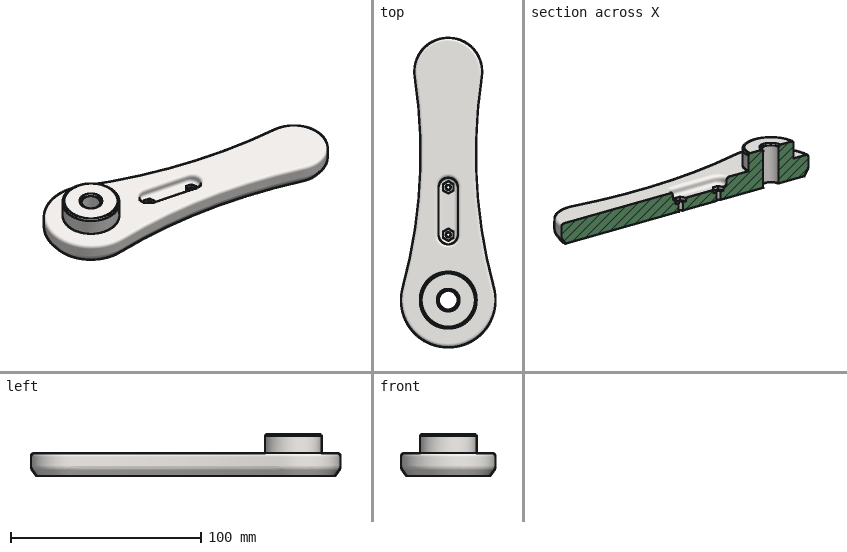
import cadquery as cq
import math

length = 163.0
hub_radius = 25.0
grip_radius = 18.0
side_radius = 267.3
grip_y = length - hub_radius - grip_radius

plate_height = 12.0
top_edge_fillet = 2.0
bottom_chamfer_height = 4.0
bottom_chamfer_inset = 3.0
chamfer_blend_radius = 3.0

boss_diameter = 30.0
boss_height = 10.0
bore_diameter = 10.0
boss_edge_chamfer = 1.0
total_height = plate_height + boss_height

pocket_near_y = 34.4
pocket_pitch = 25.0
pocket_radius = 5.0
pocket_rounding = 2.0
pocket_depth = 5.0
pocket_floor_z = plate_height - pocket_depth

screw_diameter = 2.5
nut_across_flats = 5.5
nut_depth = 2.0


def plate():
    """Build the plate, with each side arc tangent to both round ends."""
    to_hub = side_radius + hub_radius
    to_grip = side_radius + grip_radius
    side_y = (to_hub**2 - to_grip**2 + grip_y**2) / (2 * grip_y)
    side_x = math.sqrt(to_hub**2 - side_y**2)
    waist_x = side_x - side_radius
    hub_x = side_x * hub_radius / to_hub
    hub_tangent_y = side_y * hub_radius / to_hub
    grip_x = side_x * grip_radius / to_grip
    grip_tangent_y = grip_y + (side_y - grip_y) * grip_radius / to_grip
    outline = (
        cq.Workplane("XY")
        .moveTo(hub_x, hub_tangent_y)
        .threePointArc((waist_x, side_y), (grip_x, grip_tangent_y))
        .threePointArc((0, grip_y + grip_radius), (-grip_x, grip_tangent_y))
        .threePointArc((-waist_x, side_y), (-hub_x, hub_tangent_y))
        .threePointArc((0, -hub_radius), (hub_x, hub_tangent_y))
        .close()
    )
    body = outline.extrude(plate_height)
    body = body.faces("<Z").edges().chamfer(bottom_chamfer_height, bottom_chamfer_inset)
    chamfer_edges = cq.selectors.BoxSelector(
        (-length, -length, bottom_chamfer_height / 2),
        (length, length, (bottom_chamfer_height + plate_height) / 2),
    )
    body = body.edges(chamfer_edges).fillet(chamfer_blend_radius)
    return body.faces(">Z").edges().fillet(top_edge_fillet)


def boss():
    return (
        cq.Workplane("XY")
        .circle(boss_diameter / 2)
        .extrude(total_height)
        .faces(">Z")
        .edges()
        .chamfer(boss_edge_chamfer)
    )


def bore():
    """Through bore, widened by a chamfer at the top of the boss."""
    bore_radius = bore_diameter / 2
    mouth_radius = bore_radius + boss_edge_chamfer
    return (
        cq.Workplane("XZ")
        .polyline([
            (0, 0),
            (bore_radius, 0),
            (bore_radius, total_height - boss_edge_chamfer),
            (mouth_radius, total_height),
            (0, total_height),
        ])
        .close()
        .revolve(360, (0, 0), (0, 1))
    )


def pocket_profile(plane):
    """Half section of the pocket, from its centre line out to the rim."""
    floor_x = pocket_radius - pocket_rounding
    rim_x = pocket_radius + pocket_rounding
    wall_bottom_z = pocket_floor_z + pocket_rounding
    wall_top_z = plate_height - pocket_rounding
    return (
        cq.Workplane(plane)
        .moveTo(0, pocket_floor_z)
        .lineTo(floor_x, pocket_floor_z)
        .radiusArc((pocket_radius, wall_bottom_z), -pocket_rounding)
        .lineTo(pocket_radius, wall_top_z)
        .radiusArc((rim_x, plate_height), pocket_rounding)
        .lineTo(0, plate_height)
        .close()
    )


def pocket():
    """Round ends joined by a straight trough."""
    near_plane = cq.Plane((0, pocket_near_y, 0), xDir=(1, 0, 0), normal=(0, -1, 0))
    half_trough = pocket_profile(near_plane).extrude(-pocket_pitch)
    near_end = pocket_profile(near_plane).revolve(360, (0, 0), (0, 1))
    far_end = near_end.translate((0, pocket_pitch, 0))
    return half_trough.union(half_trough.mirror("YZ")).union(near_end).union(far_end)


def screw_holes():
    nut_across_corners = nut_across_flats / math.cos(math.pi / 6)
    centres = [(0, pocket_near_y), (0, pocket_near_y + pocket_pitch)]
    holes = cq.Workplane("XY").pushPoints(centres).circle(screw_diameter / 2).extrude(pocket_floor_z)
    for centre in centres:
        seat = (
            cq.Workplane("XY", origin=(*centre, pocket_floor_z - nut_depth))
            .transformed(rotate=(0, 0, 90))
            .polygon(6, nut_across_corners)
            .extrude(nut_depth)
        )
        holes = holes.union(seat)
    return holes


result = plate().union(boss()).cut(bore()).cut(pocket()).cut(screw_holes())